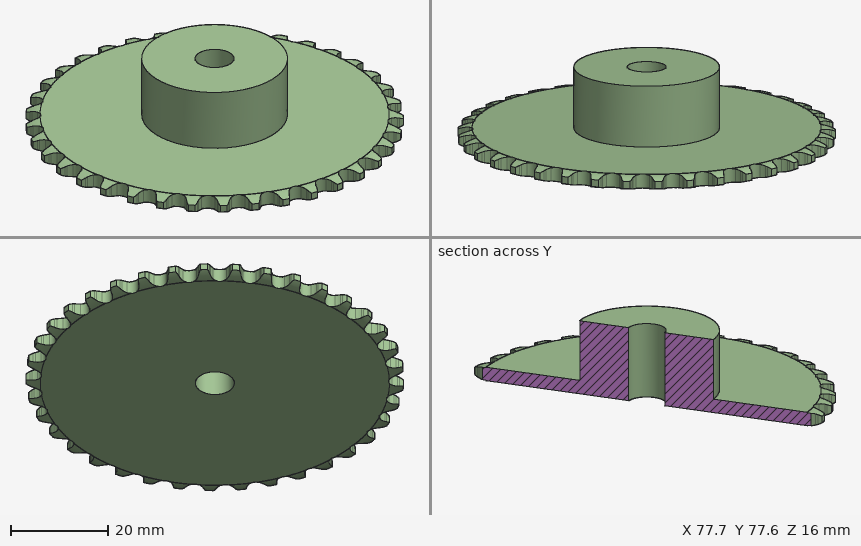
import cadquery as cq
import math

tooth_count = 37
tooth_step = 360 / tooth_count
first_gap_angle = 90
pitch_radius = 37.45
roller_diameter = 3.35
seat_radius = 1.7
tip_radius = 38.85
cutter_clearance = 0.2

plate_thickness = 3.0
shoulder_radius = 35.9
shoulder_step = 0.1
tip_thickness = 1.5

hub_diameter = 30.0
overall_height = 16.0
bore_diameter = 8.0

seat_angle = math.radians(35 + 60 / tooth_count)
working_angle = math.radians(18 - 56 / tooth_count)
tip_arc_angle = math.radians(17 - 64 / tooth_count)
flank_angle = seat_angle - working_angle
working_offset = 0.8 * roller_diameter
tip_offset = 1.4 * roller_diameter
flat_length = tip_offset * math.sin(tip_arc_angle) - working_offset * math.sin(working_angle)
tip_arc_radius = (
    working_offset * math.cos(working_angle)
    + tip_offset * math.cos(tip_arc_angle)
    - working_offset
    - seat_radius
)


def blank():
    """Plain disc whose rim steps down on both faces and then thins along convex arcs."""
    rim_bottom = shoulder_step
    rim_top = plate_thickness - shoulder_step
    side_drop = (rim_top - rim_bottom - tip_thickness) / 2
    rim_width = tip_radius - shoulder_radius
    side_arc_radius = (rim_width**2 + side_drop**2) / (2 * side_drop)
    mid_width = rim_width / 2
    mid_drop = side_arc_radius - math.sqrt(side_arc_radius**2 - mid_width**2)
    mid_radius = shoulder_radius + mid_width
    profile = (
        cq.Workplane("XZ")
        .lineTo(shoulder_radius, 0)
        .lineTo(shoulder_radius, rim_bottom)
        .threePointArc((mid_radius, rim_bottom + mid_drop), (tip_radius, rim_bottom + side_drop))
        .lineTo(tip_radius, rim_top - side_drop)
        .threePointArc((mid_radius, rim_top - mid_drop), (shoulder_radius, rim_top))
        .lineTo(shoulder_radius, plate_thickness)
        .lineTo(0, plate_thickness)
        .close()
    )
    return profile.revolve(360, (0, 0, 0), (0, 1, 0))


def along(start, distance, angle):
    """Point at a distance from start, in a direction measured from the outward radial (+X)."""
    return (start[0] + distance * math.cos(angle), start[1] + distance * math.sin(angle))


def mirrored(point):
    return (point[0], -point[1])


def tooth_gap():
    """Cutter for one gap on +X: roller seat, concave working arc, short flat, convex tip arc."""
    quarter_turn = math.pi / 2
    seat_centre = (pitch_radius, 0)
    seat_end = along(seat_centre, seat_radius, quarter_turn + seat_angle)

    working_centre = along(seat_centre, working_offset, seat_angle - quarter_turn)
    working_radius = seat_radius + working_offset
    working_mid = along(working_centre, working_radius, quarter_turn + seat_angle - working_angle / 2)
    working_end = along(working_centre, working_radius, quarter_turn + flank_angle)

    flat_end = along(working_end, flat_length, flank_angle)

    tip_centre = along(flat_end, tip_arc_radius, quarter_turn + flank_angle)
    outer_x = tip_radius + cutter_clearance
    end_angle = math.asin((outer_x - tip_centre[0]) / tip_arc_radius)
    tip_mid = along(tip_centre, tip_arc_radius, (flank_angle + end_angle) / 2 - quarter_turn)
    tip_end = along(tip_centre, tip_arc_radius, end_angle - quarter_turn)

    return (
        cq.Workplane("XY")
        .moveTo(*tip_end)
        .threePointArc(tip_mid, flat_end)
        .lineTo(*working_end)
        .threePointArc(working_mid, seat_end)
        .threePointArc((pitch_radius - seat_radius, 0), mirrored(seat_end))
        .threePointArc(mirrored(working_mid), mirrored(working_end))
        .lineTo(*mirrored(flat_end))
        .threePointArc(mirrored(tip_mid), mirrored(tip_end))
        .close()
        .extrude(plate_thickness)
    )


def toothed_plate():
    gap = tooth_gap()
    gaps = cq.Workplane("XY")
    for index in range(tooth_count):
        angle = first_gap_angle + index * tooth_step
        gaps = gaps.add(gap.rotate((0, 0, 0), (0, 0, 1), angle))
    return blank().cut(cq.Workplane(cq.Compound.makeCompound(gaps.vals())))


hub = cq.Workplane("XY").circle(hub_diameter / 2).extrude(overall_height)
bore = cq.Workplane("XY").circle(bore_diameter / 2).extrude(overall_height)

result = toothed_plate().union(hub).cut(bore)